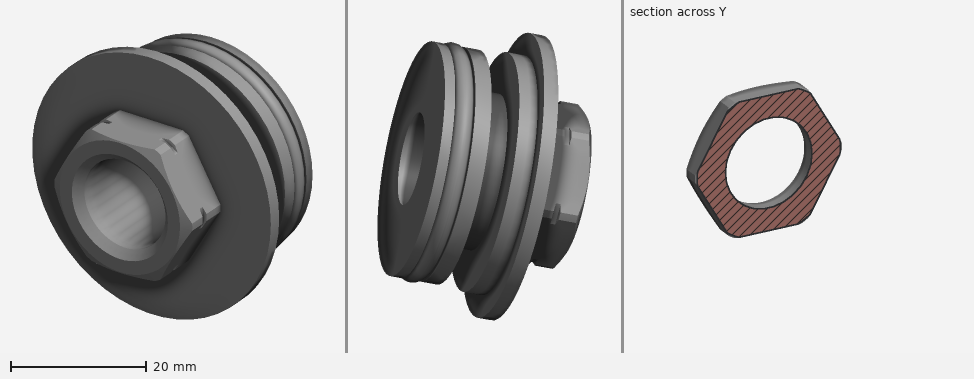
import cadquery as cq
import math

hex_length = 8.25
flange_length = 2.2
collar_length = 2.82
neck_length = 4.15
inner_land_length = 2.5
groove_length = 3.12
end_land_length = 1.6

flange_radius = 21.4
collar_radius = 18.0
neck_radius = 11.75
land_radius = 17.65
groove_floor_radius = 15.62

ring_outer_radius = 18.0
ring_section_radius = groove_length / 2

hex_across_flats = 22.0
hex_corner_radius = 12.35
hex_face_radius = 10.8
hex_chamfer_length = 0.9

notch_from_face = 4.1
notch_floor_radius = 11.85
notch_floor_width = 0.73
notch_mouth_width = 1.05

bore_mouth_radius = 8.6
bore_start_radius = 7.28
bore_end_radius = 6.98
countersink_depth = bore_mouth_radius - bore_start_radius

body_sections = [
    (flange_radius, flange_length),
    (collar_radius, collar_length),
    (neck_radius, neck_length),
    (land_radius, inner_land_length),
    (groove_floor_radius, groove_length),
    (land_radius, end_land_length),
]
total_length = hex_length + sum(length for _, length in body_sections)
groove_center = total_length - end_land_length - groove_length / 2


def revolve_profile(points):
    """Revolve a closed (radius, axial position) outline about the Y axis."""
    profile = cq.Workplane("XY").polyline(points).close()
    return profile.revolve(360, (0, 0, 0), (0, 1, 0))


def make_body():
    points = [(0, hex_length)]
    position = hex_length
    for radius, length in body_sections:
        points.append((radius, position))
        position += length
        points.append((radius, position))
    points.append((0, position))
    return revolve_profile(points)


def make_sealing_ring():
    section = cq.Workplane("XY").center(ring_outer_radius - ring_section_radius, groove_center)
    section = section.circle(ring_section_radius)
    axis_offset = ring_section_radius - ring_outer_radius
    return section.revolve(360, (axis_offset, 0, 0), (axis_offset, 1, 0))


def make_hexagon():
    across_corners = hex_across_flats / math.cos(math.pi / 6)
    prism = cq.Workplane("XZ").polygon(6, across_corners).extrude(-hex_length)
    notch_start = notch_from_face - notch_mouth_width / 2
    notch_end = notch_from_face + notch_mouth_width / 2
    turned_envelope = revolve_profile([
        (0, 0),
        (hex_face_radius, 0),
        (hex_corner_radius, hex_chamfer_length),
        (hex_corner_radius, notch_start),
        (notch_floor_radius, notch_from_face - notch_floor_width / 2),
        (notch_floor_radius, notch_from_face + notch_floor_width / 2),
        (hex_corner_radius, notch_end),
        (hex_corner_radius, hex_length),
        (0, hex_length),
    ])
    return prism.intersect(turned_envelope)


def make_bore():
    return revolve_profile([
        (0, 0),
        (bore_mouth_radius, 0),
        (bore_start_radius, countersink_depth),
        (bore_end_radius, total_length),
        (0, total_length),
    ])


result = make_body().union(make_sealing_ring()).union(make_hexagon()).cut(make_bore())